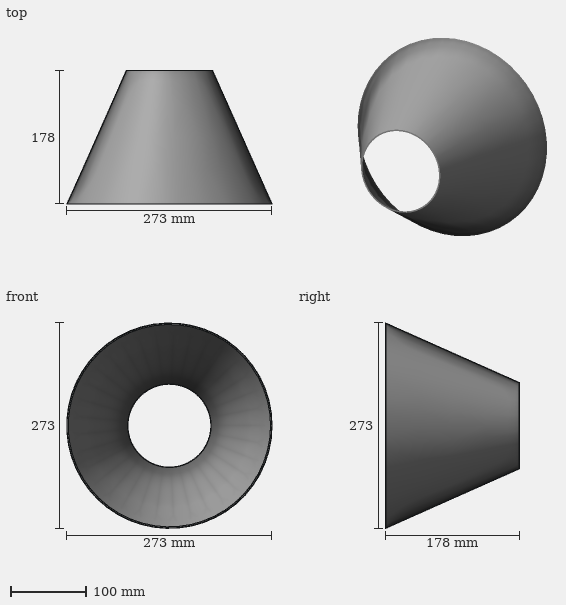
import cadquery as cq

large_diameter = 273.0
small_diameter = 114.5
length = 178.0
wall = 2.0

large_radius = large_diameter / 2
small_radius = small_diameter / 2
large_end_y = -length / 2
small_end_y = length / 2

wall_section = (
    cq.Workplane("XY")
    .moveTo(large_radius, large_end_y)
    .lineTo(small_radius, small_end_y)
    .lineTo(small_radius - wall, small_end_y)
    .lineTo(large_radius - wall, large_end_y)
    .close()
)

result = wall_section.revolve(360, (0, 0, 0), (0, 1, 0))